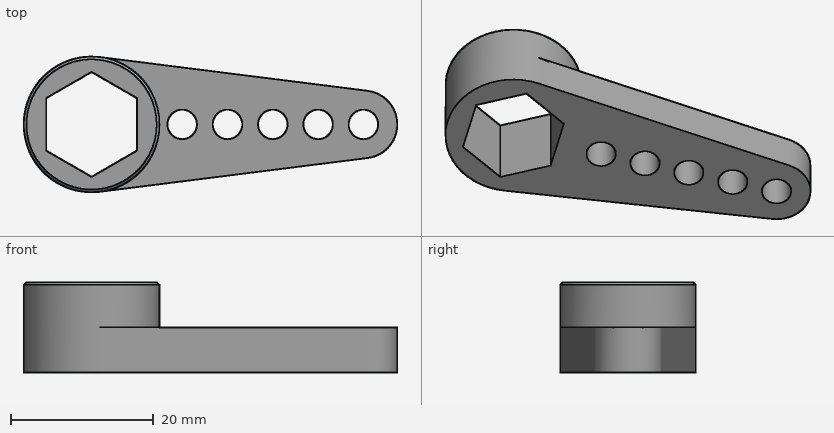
import cadquery as cq
import math

hub_diameter = 19.05
hub_height = 12.7
hub_chamfer = 0.4
hex_sides = 6
hex_across_flats = 12.7
hex_turn = 90
arm_thickness = 6.35
tip_diameter = 9.525
hole_diameter = 4.1
hole_pitch = 6.35
hole_count = 5
first_hole_x = 2 * hole_pitch

hub_radius = hub_diameter / 2
tip_radius = tip_diameter / 2
tip_x = first_hole_x + (hole_count - 1) * hole_pitch
hex_corner_diameter = hex_across_flats / math.cos(math.pi / hex_sides)


def make_hub():
    """Upright cylinder on the Z axis with a chamfered top rim."""
    hub = cq.Workplane("XY").circle(hub_radius).extrude(hub_height)
    return hub.faces(">Z").edges().chamfer(hub_chamfer)


def make_arm():
    """Tapered arm whose straight sides are tangent to the hub and the round tip."""
    taper = math.asin((hub_radius - tip_radius) / tip_x)
    normal_x = math.sin(taper)
    normal_y = math.cos(taper)
    hub_tangent = (hub_radius * normal_x, hub_radius * normal_y)
    tip_tangent = (tip_x + tip_radius * normal_x, tip_radius * normal_y)
    return (
        cq.Workplane("XY")
        .moveTo(hub_tangent[0], -hub_tangent[1])
        .lineTo(tip_tangent[0], -tip_tangent[1])
        .threePointArc((tip_x + tip_radius, 0), tip_tangent)
        .lineTo(*hub_tangent)
        .threePointArc((-hub_radius, 0), (hub_tangent[0], -hub_tangent[1]))
        .close()
        .extrude(arm_thickness)
    )


def make_hex_bore():
    """Hexagonal through bore with two corners on the Y axis."""
    return (
        cq.Workplane("XY")
        .transformed(rotate=(0, 0, hex_turn))
        .polygon(hex_sides, hex_corner_diameter)
        .extrude(hub_height)
    )


def make_arm_holes():
    """Evenly spaced through holes along the arm, the last concentric with the tip."""
    centers = [(first_hole_x + i * hole_pitch, 0) for i in range(hole_count)]
    return (
        cq.Workplane("XY")
        .pushPoints(centers)
        .circle(hole_diameter / 2)
        .extrude(arm_thickness)
    )


result = make_hub().union(make_arm()).cut(make_hex_bore()).cut(make_arm_holes())